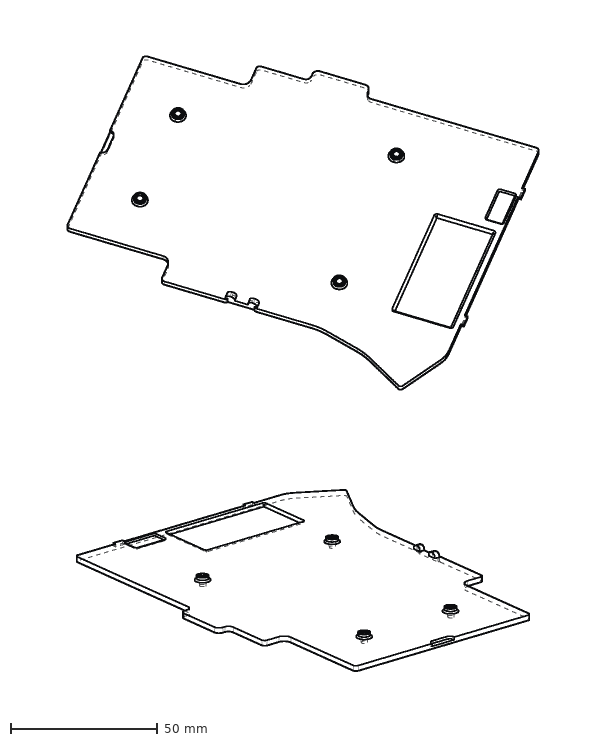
import cadquery as cq
import math

plate_thickness = 2.0
right_edge = 140.5
wing_front = 24.0
wing_back = 101.1
body_left = 38.0
body_front = 14.0
body_back = 110.5
tab_back = 115.5
tab_width = 20.4
centre_x = 67.0
tab_left = centre_x - tab_width / 2
tab_right = centre_x + tab_width / 2
corner_radius = 1.3
step_radius = 2.8
tab_radius = 2.0

shallow_slope = math.tan(math.radians(15))
steep_slope = math.tan(math.radians(30))
foot_start_x = 95.8
foot_bend_x = 113.6
foot_bend_y = body_front - (foot_bend_x - foot_start_x) * shallow_slope
foot_bend_radius = 21.2
tip_radius = 1.0
tip_y = -0.37
tip_x = foot_bend_x + (foot_bend_y - tip_y) / steep_slope
shoulder_y = tip_y + (right_edge - tip_x) / steep_slope
shoulder_radius = 9.9

boss_height = 1.5
boss_diameter = 4.2
boss_base_chamfer = 0.64
boss_hole_diameter = 2.3
boss_hole_chamfer = 0.4
left_boss_x = 19.7
left_boss_y = (43.3, 81.3)
right_boss_x = 95.6
right_boss_y = (33.9, 90.8)

large_pocket = (116.3, 28.9, 22.2, 43.8)
large_pocket_depth = 1.0
small_pocket = (133.0, 76.0, 6.8, 13.7)
small_pocket_depth = 0.5
pocket_corner_radius = 1.0
pocket_wall_angle = 45

recess_length = 9.8
recess_depth = 1.0
recess_reach = 2.0
recess_radius = 1.8

tongue_end = 141.6
tongue_width = 4.0
tongue_thickness = 1.0
tongue_overlap = 0.5
tongue_centres_y = (33.7, 90.8)

notch_width = 9.8
notch_depth = 0.5
notch_flare = 0.5
hook_outer = 5.8
hook_inner = 2.4
hook_height = 1.7
hook_thickness = 2.0
hook_outer_radius = 1.5
hook_inner_radius = 1.3


def rounded(body, corners, radius):
    """Round the upright edges that stand on the given outline corners."""
    reach = 0.07
    for x, y in corners:
        low = (x - reach, y - reach, -reach)
        high = (x + reach, y + reach, plate_thickness + reach)
        body = body.edges(cq.selectors.BoxSelector(low, high)).fillet(radius)
    return body


def make_plate():
    """Plate outline, with each group of corners rounded in turn."""
    wing_corners = [(0, wing_front), (0, wing_back)]
    step_corners = [(body_left, wing_front), (body_left, wing_back)]
    body_corners = [(body_left, body_front), (body_left, body_back), (right_edge, body_back)]
    tab_corners = [
        (tab_left, body_back),
        (tab_left, tab_back),
        (tab_right, tab_back),
        (tab_right, body_back),
    ]
    foot_bends = [(foot_start_x, body_front), (foot_bend_x, foot_bend_y)]
    tip = (tip_x, tip_y)
    shoulder = (right_edge, shoulder_y)
    outline = [
        *wing_corners,
        step_corners[1],
        body_corners[1],
        *tab_corners,
        body_corners[2],
        shoulder,
        tip,
        *reversed(foot_bends),
        body_corners[0],
        step_corners[0],
    ]
    plate = cq.Workplane("XY").polyline(outline).close().extrude(plate_thickness)
    plate = rounded(plate, wing_corners + body_corners, corner_radius)
    plate = rounded(plate, step_corners, step_radius)
    plate = rounded(plate, tab_corners, tab_radius)
    plate = rounded(plate, foot_bends, foot_bend_radius)
    plate = rounded(plate, [tip], tip_radius)
    return rounded(plate, [shoulder], shoulder_radius)


def make_boss():
    """Boss on the axis X = Y = 0, with a sloped collar where it meets the plate."""
    radius = boss_diameter / 2
    foot = radius + boss_base_chamfer
    base = plate_thickness
    profile = (
        cq.Workplane("XZ")
        .moveTo(0, 0)
        .lineTo(foot, 0)
        .lineTo(foot, base)
        .lineTo(radius, base + boss_base_chamfer)
        .lineTo(radius, base + boss_height)
        .lineTo(0, base + boss_height)
        .close()
    )
    boss = profile.revolve(360, (0, 0, 0), (0, 1, 0))
    boss = boss.faces(">Z").workplane().hole(boss_hole_diameter)
    hole_rim = boss.faces(">Z").edges(cq.selectors.RadiusNthSelector(0))
    return hole_rim.chamfer(boss_hole_chamfer)


def make_pocket(left, front, length_x, length_y, depth):
    """Cutter with rounded corners that narrows downward with sloped walls."""
    centre = (left + length_x / 2, front + length_y / 2, plate_thickness)
    outline = cq.Sketch().rect(length_x, length_y).vertices().fillet(pocket_corner_radius)
    return cq.Workplane("XY", origin=centre).placeSketch(outline).extrude(-depth, taper=pocket_wall_angle)


def make_recess():
    """Cutter for the shallow recess midway along the left wing."""
    centre_y = (wing_front + wing_back) / 2
    block = cq.Workplane("XY").box(2 * recess_reach, recess_length, recess_depth)
    block = block.edges("|Z").fillet(recess_radius)
    return block.translate((0, centre_y, plate_thickness - recess_depth / 2))


def make_tongue(y):
    """Tongue flush with the top face, reaching past the right edge."""
    length = tongue_end - right_edge + tongue_overlap
    tongue = cq.Workplane("XY").box(length, tongue_width, tongue_thickness)
    return tongue.translate((tongue_end - length / 2, y, plate_thickness - tongue_thickness / 2))


def make_notch():
    """Cutter for the notch, whose ends flare outward at the underside."""
    notch = cq.Workplane("XY").box(notch_width, 2 * notch_depth, plate_thickness)
    flare = (
        cq.Workplane("XY", origin=(0, 0, -plate_thickness / 2))
        .rect(notch_width + 2 * notch_flare, 2 * notch_depth)
        .workplane(offset=notch_flare)
        .rect(notch_width, 2 * notch_depth)
        .loft(ruled=True)
    )
    notch = notch.union(flare)
    return notch.translate((centre_x, body_front, plate_thickness / 2))


def make_hook(side):
    """Hook on the left (side = -1) or right (side = 1) end of the notch."""
    hook_bottom = plate_thickness / 2
    hook_top = plate_thickness + hook_height
    hook = (
        cq.Workplane("XZ")
        .moveTo(hook_inner, hook_bottom)
        .lineTo(hook_inner, hook_top)
        .lineTo(hook_outer, hook_top)
        .lineTo(hook_outer, hook_bottom)
        .close()
        .extrude(-hook_thickness)
    )
    hook = hook.edges("|Y and >Z and <X").fillet(hook_inner_radius)
    hook = hook.edges("|Y and >Z and >X").fillet(hook_outer_radius)
    if side < 0:
        hook = hook.mirror("YZ")
    return hook.translate((centre_x, body_front + notch_depth, 0))


result = make_plate().cut(make_notch()).cut(make_recess())
result = result.cut(make_pocket(*large_pocket, large_pocket_depth))
result = result.cut(make_pocket(*small_pocket, small_pocket_depth))
for y in tongue_centres_y:
    result = result.union(make_tongue(y))
for side in (-1, 1):
    result = result.union(make_hook(side))
boss_places = [(left_boss_x, y) for y in left_boss_y] + [(right_boss_x, y) for y in right_boss_y]
for x, y in boss_places:
    hole = cq.Workplane("XY").center(x, y).circle(boss_hole_diameter / 2).extrude(plate_thickness)
    result = result.cut(hole).union(make_boss().translate((x, y, 0)))